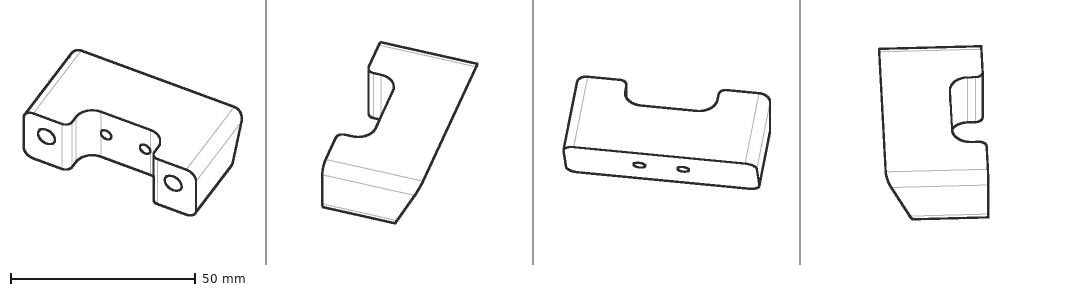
import cadquery as cq

width = 53.0
height = 17.0
top_depth = 27.8
bottom_depth = 20.0
edge_radius = 3.0

pocket_width = 25.2
pocket_depth = 9.15
pocket_corner_radius = 5.0
pocket_mouth_radius = 2.0

blind_diameter = 5.2
blind_spacing = 38.9
blind_height = 10.05
blind_depth = 10.6

through_diameter = 3.2
through_spacing = 12.0
through_height = 9.0


def make_block():
    """Rounded bar along Y, cut back to the sloped rear face."""
    bar = (
        cq.Workplane("XY")
        .box(width, top_depth, height, centered=(True, False, False))
        .edges("|Y")
        .fillet(edge_radius)
    )
    side_profile = (
        cq.Workplane("YZ")
        .polyline([(0, 0), (bottom_depth, 0), (top_depth, height), (0, height)])
        .close()
        .extrude(width / 2, both=True)
    )
    return bar.intersect(side_profile)


def cut_pocket(body):
    """Cut the pocket, with concave inner corners and rounded mouth edges."""
    half = pocket_width / 2
    mouth_half = half + pocket_mouth_radius
    floor_half = half - pocket_corner_radius
    corner_start = pocket_depth - pocket_corner_radius
    pocket = (
        cq.Workplane("XY")
        .moveTo(-mouth_half, 0)
        .radiusArc((-half, pocket_mouth_radius), -pocket_mouth_radius)
        .lineTo(-half, corner_start)
        .radiusArc((-floor_half, pocket_depth), pocket_corner_radius)
        .lineTo(floor_half, pocket_depth)
        .radiusArc((half, corner_start), pocket_corner_radius)
        .lineTo(half, pocket_mouth_radius)
        .radiusArc((mouth_half, 0), -pocket_mouth_radius)
        .close()
        .extrude(height)
    )
    return body.cut(pocket)


def hole_pair(diameter, spacing, hole_height, depth):
    """Two cylinders running back from the front face, mirrored about x = 0."""
    return (
        cq.Workplane("XZ")
        .pushPoints([(-spacing / 2, hole_height), (spacing / 2, hole_height)])
        .circle(diameter / 2)
        .extrude(-depth)
    )


result = cut_pocket(make_block())
result = result.cut(hole_pair(blind_diameter, blind_spacing, blind_height, blind_depth))
result = result.cut(hole_pair(through_diameter, through_spacing, through_height, top_depth))